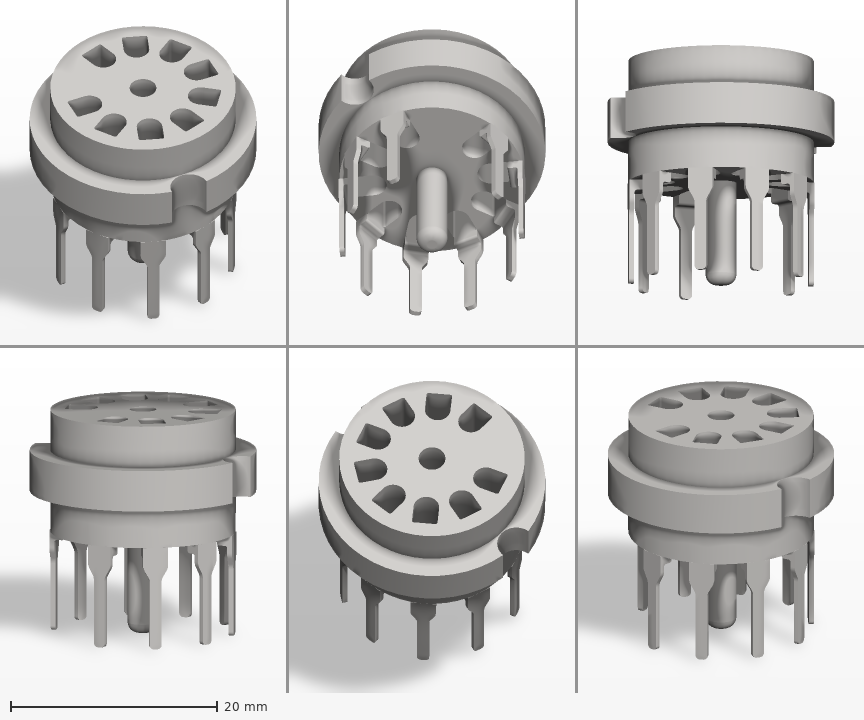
import cadquery as cq
import math

OVERALL_HEIGHT = 22.0
PIN_LENGTH = 10.0
SECTION_HEIGHT = (OVERALL_HEIGHT - PIN_LENGTH) / 3
BODY_HEIGHT = 3 * SECTION_HEIGHT
BODY_DIAMETER = 18.0
FLANGE_DIAMETER = 22.0

NOTCH_RADIUS = 1.85
NOTCH_CENTRE = 10.91

POSITION_COUNT = 10
ANGLE_STEP = 360 // POSITION_COUNT
FIRST_ANGLE = ANGLE_STEP // 2
EMPTY_ANGLE = 234
CONTACT_ANGLES = [
    angle
    for angle in range(FIRST_ANGLE, 360, ANGLE_STEP)
    if angle != EMPTY_ANGLE
]

SLOT_WIDTH = 2.49
SLOT_OUTER = 7.52
SLOT_INNER = 4.47
SLOT_CORNER_RADIUS = 0.2

POST_DIAMETER = 3.0
POST_ROUND = 1.0
CENTRE_HOLE_DIAMETER = 2.6

BLADE_WIDTH = 2.46
SHANK_WIDTH = 1.17
BLADE_THICKNESS = 0.48
BLADE_LENGTH = 1.74
TAPER_RADIUS = 1.0
TAPER_ANGLE = math.radians(30)
TIP_ROUND = 0.4
BLADE_OUTER = BODY_DIAMETER / 2
BLADE_INNER = BLADE_OUTER - BLADE_THICKNESS

FOOT_HEIGHT = 1.0
FOOT_EDGE_ROUND = 0.25
FOOT_ROOT_ROUND = 0.25


def make_body():
    """Stepped cylinder with its base at Z = 0 and a notched flange."""
    body = cq.Workplane("XY").circle(BODY_DIAMETER / 2).extrude(BODY_HEIGHT)
    notches = (
        cq.Workplane("XY", origin=(0, 0, SECTION_HEIGHT))
        .pushPoints([(-NOTCH_CENTRE, 0), (NOTCH_CENTRE, 0)])
        .circle(NOTCH_RADIUS)
        .extrude(SECTION_HEIGHT)
    )
    flange = (
        cq.Workplane("XY", origin=(0, 0, SECTION_HEIGHT))
        .circle(FLANGE_DIAMETER / 2)
        .extrude(SECTION_HEIGHT)
        .cut(notches)
    )
    return body.union(flange)


def make_slot():
    """Contact slot cutter through the full body height, on the +X axis."""
    half = SLOT_WIDTH / 2
    arc_centre = SLOT_INNER + half
    return (
        cq.Workplane("XY")
        .moveTo(arc_centre, half)
        .lineTo(SLOT_OUTER, half)
        .lineTo(SLOT_OUTER, -half)
        .lineTo(arc_centre, -half)
        .threePointArc((SLOT_INNER, 0), (arc_centre, half))
        .close()
        .extrude(BODY_HEIGHT)
        .edges("|Z and >X")
        .fillet(SLOT_CORNER_RADIUS)
    )


def make_blade():
    """Flat pin on the +X axis, hanging down from Z = 0."""
    blade_half = BLADE_WIDTH / 2
    shank_half = SHANK_WIDTH / 2
    arc_inset = TAPER_RADIUS * (1 - math.cos(TAPER_ANGLE))
    arc_drop = TAPER_RADIUS * math.sin(TAPER_ANGLE)
    slope_drop = (blade_half - shank_half - 2 * arc_inset) / math.tan(TAPER_ANGLE)
    slope_top = -BLADE_LENGTH - arc_drop
    slope_bottom = slope_top - slope_drop
    half_blade = (
        cq.Workplane("YZ", origin=(BLADE_INNER, 0, 0))
        .lineTo(blade_half, 0)
        .lineTo(blade_half, -BLADE_LENGTH)
        .tangentArcPoint((blade_half - arc_inset, slope_top), relative=False)
        .lineTo(shank_half + arc_inset, slope_bottom)
        .tangentArcPoint((shank_half, slope_bottom - arc_drop), relative=False)
        .lineTo(shank_half, TIP_ROUND - PIN_LENGTH)
        .tangentArcPoint((shank_half - TIP_ROUND, -PIN_LENGTH), relative=False)
        .lineTo(0, -PIN_LENGTH)
        .close()
        .extrude(BLADE_THICKNESS)
    )
    return half_blade.union(half_blade.mirror("XZ"))


def make_foot():
    """Foot from the slot end to the blade, rounded at its edge and root."""
    root_x = BLADE_INNER - FOOT_ROOT_ROUND
    return (
        cq.Workplane("XZ", origin=(0, BLADE_WIDTH / 2, 0))
        .moveTo(BLADE_OUTER, 0)
        .lineTo(SLOT_OUTER, 0)
        .lineTo(SLOT_OUTER, FOOT_EDGE_ROUND - FOOT_HEIGHT)
        .tangentArcPoint((SLOT_OUTER + FOOT_EDGE_ROUND, -FOOT_HEIGHT), relative=False)
        .lineTo(root_x, -FOOT_HEIGHT)
        .tangentArcPoint((BLADE_INNER, -FOOT_HEIGHT - FOOT_ROOT_ROUND), relative=False)
        .lineTo(BLADE_OUTER, -FOOT_HEIGHT - FOOT_ROOT_ROUND)
        .close()
        .extrude(BLADE_WIDTH)
    )


def make_post():
    """Round centre post with a rounded lower end."""
    return (
        cq.Workplane("XY")
        .circle(POST_DIAMETER / 2)
        .extrude(-PIN_LENGTH)
        .faces("<Z")
        .edges()
        .fillet(POST_ROUND)
    )


def at_contacts(shape):
    """Copies of a +X shape at every contact position."""
    copies = cq.Workplane("XY")
    for angle in CONTACT_ANGLES:
        copies = copies.add(shape.rotate((0, 0, 0), (0, 0, 1), angle))
    return copies.combine()


centre_hole = cq.Workplane("XY").circle(CENTRE_HOLE_DIAMETER / 2).extrude(BODY_HEIGHT)
contact_pin = make_blade().union(make_foot())

result = (
    make_body()
    .cut(at_contacts(make_slot()))
    .cut(centre_hole)
    .union(make_post())
    .union(at_contacts(contact_pin))
)